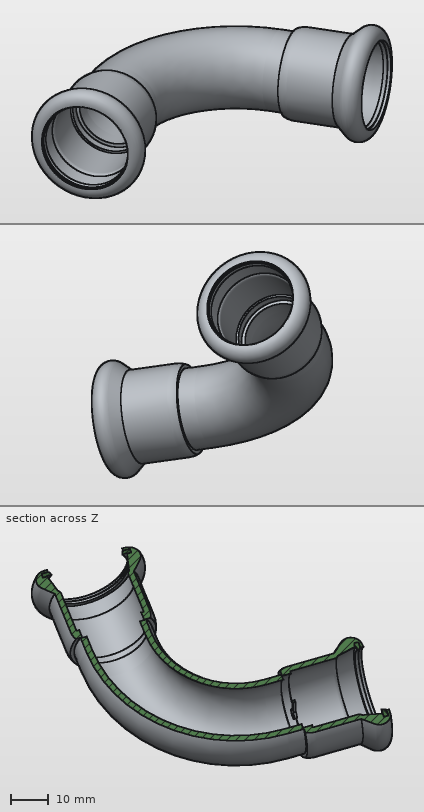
import cadquery as cq
import math

overall = 76.8
bead_radius = 15.78
leg_length = 28.2
half = overall / 2
leg_axis = -half + bead_radius
bend_radius = overall - bead_radius - leg_length
bend_start = -half + leg_length

socket_radius = 12.63
neck_radius = 11.0
bead_section_radius = bead_radius - socket_radius
flare_angle = math.radians(40)
shoulder_start = 21.0
shoulder_end = 23.5
shoulder_radius = 12.05

mouth_radius = 12.05
mouth_depth = 0.9
groove_radius = 13.7
seal_end = 2.0
chamber_start_radius = 12.7
chamber_end = 7.3
chamber_end_radius = 11.6
entry_depth = 8.4
bore_radius = 11.1
stop_depth = 21.0
recess_radius = 10.48
recess_depth = 23.5
tube_bore_radius = 9.485

seal_radius = 11.6
seal_face_radius = 11.8
lip_length = 0.9

tab_disc_radius = 1.4
tab_stem_width = 0.85
tab_thickness = 0.8


def leg_profile():
    """Half section of a leg, X as radius and Y as depth from the mouth."""
    bead_flank = (
        socket_radius + bead_section_radius * math.cos(flare_angle),
        bead_section_radius * (1 + math.sin(flare_angle)),
    )
    flare_end = bead_flank[1] + (bead_flank[0] - socket_radius) / math.tan(flare_angle)
    return (
        cq.Workplane("XY")
        .moveTo(mouth_radius, 0)
        .lineTo(socket_radius, 0)
        .threePointArc((bead_radius, bead_section_radius), bead_flank)
        .lineTo(socket_radius, flare_end)
        .lineTo(socket_radius, shoulder_start)
        .tangentArcPoint((shoulder_radius, shoulder_end), relative=False)
        .lineTo(neck_radius, shoulder_end)
        .lineTo(neck_radius, leg_length)
        .lineTo(tube_bore_radius, leg_length)
        .lineTo(tube_bore_radius, recess_depth)
        .lineTo(recess_radius, recess_depth)
        .lineTo(recess_radius, stop_depth)
        .lineTo(bore_radius, stop_depth)
        .lineTo(bore_radius, entry_depth)
        .tangentArcPoint((chamber_end_radius, chamber_end), relative=False)
        .lineTo(chamber_start_radius, seal_end)
        .lineTo(groove_radius, seal_end)
        .lineTo(groove_radius, mouth_depth)
        .lineTo(mouth_radius, mouth_depth)
        .close()
    )


def seal_profile():
    """Half section of a seal: fills the groove ahead of the chamber, with a rounded lip facing the mouth."""
    return (
        cq.Workplane("XY")
        .moveTo(groove_radius, mouth_depth)
        .lineTo(groove_radius, seal_end)
        .lineTo(seal_radius, seal_end)
        .lineTo(seal_radius, mouth_depth + lip_length)
        .tangentArcPoint((seal_face_radius, mouth_depth), relative=False)
        .close()
    )


def revolve_on_leg(profile):
    """Turn a half section about the -Y leg axis and move it to that leg's mouth."""
    return profile.revolve(360, (0, 0), (0, 1)).translate((leg_axis, -half, 0))


def to_other_leg(body):
    """Mirror a -Y leg body across the plane X + Y = 0 onto the +X leg."""
    return body.rotate((0, 0, 0), (0, 0, 1), 90).mirror("XZ")


def make_bend():
    return (
        cq.Workplane("XZ", origin=(leg_axis, bend_start, 0))
        .circle(neck_radius)
        .circle(tube_bore_radius)
        .revolve(90, (bend_radius, 0.8), (bend_radius, 0))
    )


def make_tab():
    """Tab hanging from the top of the recess, its back on the inner stop face."""
    plane = cq.Workplane("XZ", origin=(leg_axis, -half + recess_depth, 0))
    disc = plane.circle(tab_disc_radius).extrude(tab_thickness)
    stem_length = (recess_radius + neck_radius) / 2
    stem = plane.center(0, stem_length / 2).rect(tab_stem_width, stem_length).extrude(tab_thickness)
    return disc.union(stem)


leg = revolve_on_leg(leg_profile())
elbow = leg.union(make_bend()).union(to_other_leg(leg)).union(make_tab())

first_seal = revolve_on_leg(seal_profile())
seals = [first_seal, to_other_leg(first_seal)]

result = cq.Compound.makeCompound([elbow.val(), *[seal.val() for seal in seals]])